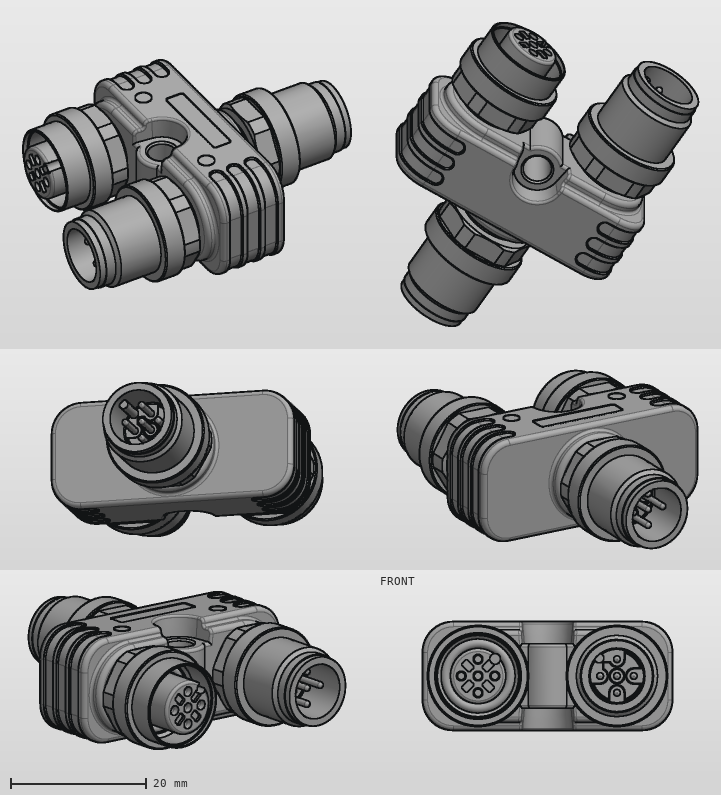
import cadquery as cq
import math


SELECT_MARGIN = 0.05

QUARTER_TURNS = (0, 90, 180, 270)

HOUSING_LENGTH = 37.0
HOUSING_HEIGHT = 16.1
HOUSING_HALF_DEPTH = 5.5
HOUSING_CORNER = 4.55
HOUSING_EDGE = 0.75

COLLAR_DIAMETER = 13.65
COLLAR_FRONT_AT = 7.3
COLLAR_EDGE = 0.8
COLLAR_FOOT = 0.45
CONNECTOR_X = 10.25

GRIP_WIDTH = 2.25
GRIP_DEPTH = 0.25
GRIP_CHAMFER = 0.2
GRIP_PITCH = 3.05
GRIP_COUNT = 3
GRIP_END_X = 11.7

LABEL_LENGTH = 14.0
LABEL_WIDTH = 3.0
LABEL_CORNER = 0.4
LABEL_Y = 1.6
LABEL_DEPTH = 0.15
DISC_DIAMETER = 2.5
DISC_X = 9.0
DISC_Y = -2.5
DISC_DEPTH = 0.1

EYE_Y = -4.7
EYE_DIAMETER = 7.65
EYE_HEIGHT = 9.55
EYE_EDGE = 0.5
EYE_HOLE = 4.2
EYE_HOLE_CHAMFER = 0.3
POCKET_RADIUS = 3.45
POCKET_FLARE = 7.0
POCKET_DRAFT = 5.0
POCKET_EDGE = 0.4

NECK_DIAMETER = 9.3
HEX_AT = 8.3
HEX_FLATS = 13.1
HEX_CORNERS = 14.05
HEX_CHAMFER = 0.3
HEX_CHAMFER_WIDTH = 0.6
RING_AT = 11.35
RING_DIAMETER = 15.0
RING_END_AT = 14.75
RING_CHAMFER = 0.2

CONTACT_OFFSET = 2.5
KEY_ANGLE = 45

PLUG_DIAMETER = 12.0
PLUG_TAPER_AT = 21.6
PLUG_STEP_DIAMETER = 10.8
PLUG_STEP_AT = 22.15
PLUG_TIP_DIAMETER = 10.5
PLUG_TIP_AT = 23.75
PLUG_END_AT = 24.8
PLUG_BORE = 8.3
PLUG_FLOOR_AT = 16.85
PIN_DIAMETER = 1.0
PIN_TIP_RADIUS = 0.45
PIN_END_AT = 22.65
PIN_WELL = 2.1
CENTRE_WELL = 2.0
ISLAND_DIAMETER = 7.55
ISLAND_HEIGHT = 0.4
ISLAND_CHAMFER = 0.15
PLUG_FLOOR_CHAMFER = 0.2
PLUG_KEY_DIAMETER = 1.4
PLUG_KEY_OFFSET = 3.7
PLUG_KEY_END_AT = 22.8
PLUG_KEY_CLEARANCE = 2.1

SLEEVE_DIAMETER = 12.8
SLEEVE_END_AT = 18.75
SLEEVE_CHAMFER = 0.15
SLEEVE_BORE = 12.0
SLEEVE_MOUTH = 12.3
SLEEVE_MOUTH_DEPTH = 0.75
SEAL_DIAMETER = 10.95
SEAL_FLOOR_AT = 12.4
INSERT_DIAMETER = 8.2
INSERT_END_AT = 20.0
INSERT_EDGE = 0.45
CONTACT_HOLE = 1.15
CONTACT_HOLE_DEPTH = 3.95
CONTACT_ENTRY = 1.45
CONTACT_ENTRY_DEPTH = 1.0
VENT_WIDTH = 1.15
VENT_INNER = 1.3
VENT_OUTER = 3.0
VENT_CORNER = 0.25
VENT_DEPTH = 0.5
SOCKET_KEY_DIAMETER = 1.6
SOCKET_KEY_OFFSET = 3.55


def disc(diameter, start, end):
    """Cylinder on the local connector axis between two stations."""
    return cq.Workplane("XY").workplane(offset=start).circle(diameter / 2).extrude(end - start)


def contact_points():
    """Contact centres: one on the axis and four around it."""
    around = [
        (CONTACT_OFFSET * math.cos(math.radians(a)), CONTACT_OFFSET * math.sin(math.radians(a)))
        for a in QUARTER_TURNS
    ]
    return [(0, 0)] + around


def rounded_bar(length, height, corner):
    """Housing cross-section with rounded corners, running through the full depth."""
    return (
        cq.Workplane("XZ")
        .rect(length, height)
        .extrude(HOUSING_HALF_DEPTH, both=True)
        .edges("|Y")
        .fillet(corner)
    )


def housing():
    """Rounded block with both face outlines rounded."""
    block = rounded_bar(HOUSING_LENGTH, HOUSING_HEIGHT, HOUSING_CORNER)
    return block.faces("<Y or >Y").edges().fillet(HOUSING_EDGE)


def front_collar():
    """Stadium-shaped raised face behind the two front connectors."""
    return (
        cq.Workplane("XZ")
        .slot2D(2 * CONNECTOR_X + COLLAR_DIAMETER, COLLAR_DIAMETER)
        .extrude(COLLAR_FRONT_AT)
        .faces("<Y")
        .edges()
        .fillet(COLLAR_EDGE)
    )


def rear_collar():
    """Round raised face behind the rear connector."""
    return (
        cq.Workplane("XZ")
        .circle(COLLAR_DIAMETER / 2)
        .extrude(-COLLAR_FRONT_AT)
        .faces(">Y")
        .edges()
        .fillet(COLLAR_EDGE)
    )


def collar_foot(body, side):
    """Round the inside corner where a collar meets the housing face."""
    face_y = side * HOUSING_HALF_DEPTH
    half_length = HOUSING_LENGTH / 2 - HOUSING_EDGE - SELECT_MARGIN
    half_height = HOUSING_HEIGHT / 2 - HOUSING_EDGE - SELECT_MARGIN
    inside_outline = cq.selectors.BoxSelector(
        (-half_length, face_y - SELECT_MARGIN, -half_height),
        (half_length, face_y + SELECT_MARGIN, half_height),
        boundingbox=True,
    )
    return body.edges(inside_outline).fillet(COLLAR_FOOT)


def grip_grooves():
    """Bands that wrap round each end and stop with a round end on the flat faces."""
    core_length = HOUSING_LENGTH - 2 * GRIP_DEPTH
    core_height = HOUSING_HEIGHT - 2 * GRIP_DEPTH
    core = rounded_bar(core_length, core_height, HOUSING_CORNER - GRIP_DEPTH)
    slot_length = HOUSING_LENGTH
    slot_x = GRIP_END_X + slot_length / 2
    rows = [(i - (GRIP_COUNT - 1) / 2) * GRIP_PITCH for i in range(GRIP_COUNT)]
    centres = [(side * slot_x, y) for side in (-1, 1) for y in rows]
    slots = (
        cq.Workplane("XY")
        .pushPoints(centres)
        .slot2D(slot_length, GRIP_WIDTH)
        .extrude(HOUSING_HEIGHT, both=True)
    )
    bands = slots.cut(core)
    half_length = core_length / 2 + SELECT_MARGIN
    half_height = core_height / 2 + SELECT_MARGIN
    core_box = cq.selectors.BoxSelector(
        (-half_length, -HOUSING_HALF_DEPTH, -half_height),
        (half_length, HOUSING_HALF_DEPTH, half_height),
        boundingbox=True,
    )
    return bands.edges(core_box).edges("not |Y").chamfer(GRIP_CHAMFER)


def top_recesses():
    """Label field and the two marking discs on the top face."""
    top = cq.Workplane("XY").workplane(offset=HOUSING_HEIGHT / 2)
    label = top.center(0, LABEL_Y).rect(LABEL_LENGTH, LABEL_WIDTH).extrude(-LABEL_DEPTH)
    label = label.edges("|Z").fillet(LABEL_CORNER)
    disc_centres = [(-DISC_X, DISC_Y), (DISC_X, DISC_Y)]
    discs = top.pushPoints(disc_centres).circle(DISC_DIAMETER / 2).extrude(-DISC_DEPTH)
    return label.union(discs)


def eye_pocket():
    """Drafted pocket above the eye, with side walls that flare towards the front."""
    flare = math.radians(POCKET_FLARE)
    tangent_x = POCKET_RADIUS * math.cos(flare)
    tangent_y = POCKET_RADIUS * math.sin(flare)
    run = EYE_DIAMETER
    front_x = tangent_x + run * math.tan(flare)
    depth = (HOUSING_HEIGHT - EYE_HEIGHT) / 2
    return (
        cq.Workplane("XY")
        .workplane(offset=EYE_HEIGHT / 2)
        .center(0, EYE_Y)
        .moveTo(-front_x, tangent_y - run)
        .lineTo(-tangent_x, tangent_y)
        .threePointArc((0, POCKET_RADIUS), (tangent_x, tangent_y))
        .lineTo(front_x, tangent_y - run)
        .close()
        .extrude(depth, taper=-POCKET_DRAFT)
    )


def cut_pocket(body):
    """Cut the pocket and round its mouth and the front edge of its floor."""
    floor_z = EYE_HEIGHT / 2
    opened = body.cut(eye_pocket())
    floor_edge = opened.edges(cq.selectors.NearestToPointSelector((0, -COLLAR_FRONT_AT, floor_z)))
    opened = floor_edge.fillet(EYE_EDGE)
    mouth_half_width = POCKET_RADIUS + EYE_EDGE + POCKET_EDGE
    mouth = cq.selectors.BoxSelector(
        (-mouth_half_width, -COLLAR_FRONT_AT - SELECT_MARGIN, floor_z + EYE_EDGE),
        (mouth_half_width, 0, HOUSING_HEIGHT / 2 + SELECT_MARGIN),
        boundingbox=True,
    )
    return opened.edges(mouth).fillet(POCKET_EDGE)


def mounting_eye():
    """Round boss between the two pockets."""
    eye = cq.Workplane("XY").center(0, EYE_Y).circle(EYE_DIAMETER / 2).extrude(EYE_HEIGHT / 2, both=True)
    return eye.faces("<Z or >Z").edges().fillet(EYE_EDGE)


def eye_hole():
    """Through hole of the eye, chamfered at both ends."""
    half = EYE_HEIGHT / 2
    hole = cq.Workplane("XY").center(0, EYE_Y).circle(EYE_HOLE / 2).extrude(half, both=True)
    rim = (
        cq.Workplane("XY")
        .workplane(offset=half - EYE_HOLE_CHAMFER)
        .center(0, EYE_Y)
        .circle(EYE_HOLE / 2)
        .workplane(offset=EYE_HOLE_CHAMFER)
        .circle(EYE_HOLE / 2 + EYE_HOLE_CHAMFER)
        .loft()
    )
    return hole.union(rim).union(rim.mirror("XY"))


def nut():
    """Neck, hexagon with turned-down corners and grip ring."""
    neck = disc(NECK_DIAMETER, HOUSING_HALF_DEPTH, HEX_AT)
    hexagon = (
        cq.Workplane("XY")
        .workplane(offset=HEX_AT)
        .polygon(6, HEX_FLATS / math.cos(math.pi / 6))
        .extrude(RING_AT - HEX_AT)
    )
    turned = disc(HEX_CORNERS, HEX_AT, RING_AT).faces("<Z").chamfer(HEX_CHAMFER, HEX_CHAMFER_WIDTH)
    ring = disc(RING_DIAMETER, RING_AT, RING_END_AT).faces("<Z or >Z").chamfer(RING_CHAMFER)
    return neck.union(hexagon.intersect(turned)).union(ring)


def plug_shell():
    """Stepped outer shell of the plug, with the bore left open."""
    bore = PLUG_BORE / 2
    return (
        cq.Workplane("XZ")
        .moveTo(0, RING_AT)
        .lineTo(PLUG_DIAMETER / 2, RING_AT)
        .lineTo(PLUG_DIAMETER / 2, PLUG_TAPER_AT)
        .lineTo(PLUG_STEP_DIAMETER / 2, PLUG_STEP_AT)
        .lineTo(PLUG_STEP_DIAMETER / 2, PLUG_TIP_AT)
        .lineTo(PLUG_TIP_DIAMETER / 2, PLUG_TIP_AT)
        .lineTo(PLUG_TIP_DIAMETER / 2, PLUG_END_AT)
        .lineTo(bore, PLUG_END_AT)
        .lineTo(bore, PLUG_FLOOR_AT + PLUG_FLOOR_CHAMFER)
        .lineTo(bore - PLUG_FLOOR_CHAMFER, PLUG_FLOOR_AT)
        .lineTo(0, PLUG_FLOOR_AT)
        .close()
        .revolve(360, (0, 0, 0), (0, 1, 0))
    )


def plug_islands():
    """Four raised islands on the bore floor, left between the wells round the pins."""
    top = PLUG_FLOOR_AT + ISLAND_HEIGHT
    islands = disc(ISLAND_DIAMETER, PLUG_FLOOR_AT, top)
    islands = islands.cut(disc(CENTRE_WELL, PLUG_FLOOR_AT, top))
    well_length = ISLAND_DIAMETER / 2
    well_x = CONTACT_OFFSET - PIN_WELL / 2 + well_length / 2
    well = (
        cq.Workplane("XY")
        .workplane(offset=PLUG_FLOOR_AT)
        .center(well_x, 0)
        .slot2D(well_length, PIN_WELL)
        .extrude(ISLAND_HEIGHT)
    )
    for angle in QUARTER_TURNS:
        islands = islands.cut(well.rotate((0, 0, 0), (0, 0, 1), angle))
    quadrant = (
        cq.Workplane("XY")
        .workplane(offset=PLUG_FLOOR_AT)
        .rect(-PLUG_BORE / 2, PLUG_BORE / 2, centered=False)
        .extrude(ISLAND_HEIGHT)
    )
    kept_corner = (
        cq.Workplane("XY")
        .workplane(offset=PLUG_FLOOR_AT)
        .rect(-PLUG_KEY_CLEARANCE, PLUG_KEY_CLEARANCE, centered=False)
        .extrude(ISLAND_HEIGHT)
    )
    islands = islands.cut(quadrant.cut(kept_corner))
    return islands.faces(">Z").edges().chamfer(ISLAND_CHAMFER)


def plug():
    """Complete male connector with pins and key rib."""
    pins = (
        cq.Workplane("XY")
        .workplane(offset=PLUG_FLOOR_AT)
        .pushPoints(contact_points())
        .circle(PIN_DIAMETER / 2)
        .extrude(PIN_END_AT - PLUG_FLOOR_AT)
        .faces(">Z")
        .edges()
        .fillet(PIN_TIP_RADIUS)
    )
    key = (
        disc(PLUG_KEY_DIAMETER, PLUG_FLOOR_AT, PLUG_KEY_END_AT)
        .translate((PLUG_KEY_OFFSET, 0, 0))
        .rotate((0, 0, 0), (0, 0, 1), 180 - KEY_ANGLE)
    )
    return nut().union(plug_shell()).union(plug_islands()).union(pins).union(key)


def socket_sleeve():
    """Outer sleeve with the annular space that leaves the insert standing in its middle."""
    sleeve = disc(SLEEVE_DIAMETER, RING_AT, SLEEVE_END_AT)
    return sleeve.faces(">Z").chamfer(SLEEVE_CHAMFER).cut(socket_gap())


def socket_gap():
    """Annular space round the insert, with the rounded crest of the seal ring as its floor."""
    insert_radius = INSERT_DIAMETER / 2
    seal_radius = SEAL_DIAMETER / 2
    bore_radius = SLEEVE_BORE / 2
    mouth_radius = SLEEVE_MOUTH / 2
    mouth_at = SLEEVE_END_AT - SLEEVE_MOUTH_DEPTH
    cord_radius = (seal_radius - insert_radius) / 2
    crest_at = SEAL_FLOOR_AT + cord_radius
    return (
        cq.Workplane("XZ")
        .moveTo(insert_radius, SEAL_FLOOR_AT)
        .threePointArc((insert_radius + cord_radius, crest_at), (seal_radius, SEAL_FLOOR_AT))
        .lineTo(seal_radius, crest_at)
        .lineTo(bore_radius, crest_at + bore_radius - seal_radius)
        .lineTo(bore_radius, mouth_at - mouth_radius + bore_radius)
        .lineTo(mouth_radius, mouth_at)
        .lineTo(mouth_radius, SLEEVE_END_AT)
        .lineTo(insert_radius, SLEEVE_END_AT)
        .close()
        .revolve(360, (0, 0, 0), (0, 1, 0))
    )


def socket_tip():
    """End of the insert that stands out of the sleeve."""
    return disc(INSERT_DIAMETER, RING_AT, INSERT_END_AT).faces(">Z").edges().fillet(INSERT_EDGE)


def socket_openings():
    """Five contact holes with tapered entries, four vents and the key groove in the insert."""
    face = cq.Workplane("XY").workplane(offset=INSERT_END_AT)
    openings = (
        disc(SOCKET_KEY_DIAMETER, SEAL_FLOOR_AT, INSERT_END_AT)
        .translate((SOCKET_KEY_OFFSET, 0, 0))
        .rotate((0, 0, 0), (0, 0, 1), KEY_ANGLE)
    )
    hole = face.circle(CONTACT_HOLE / 2).extrude(-CONTACT_HOLE_DEPTH)
    entry = (
        face.circle(CONTACT_ENTRY / 2)
        .workplane(offset=-CONTACT_ENTRY_DEPTH)
        .circle(CONTACT_HOLE / 2)
        .loft()
    )
    contact = hole.union(entry)
    for x, y in contact_points():
        openings = openings.union(contact.translate((x, y, 0)))
    vent = (
        face.center((VENT_INNER + VENT_OUTER) / 2, 0)
        .rect(VENT_OUTER - VENT_INNER, VENT_WIDTH)
        .extrude(-VENT_DEPTH)
        .edges("|Z")
        .fillet(VENT_CORNER)
    )
    for angle in QUARTER_TURNS:
        openings = openings.union(vent.rotate((0, 0, 0), (0, 0, 1), KEY_ANGLE + angle))
    return openings


def socket():
    """Complete female connector."""
    ring = nut().cut(socket_gap())
    return ring.union(socket_sleeve()).union(socket_tip()).cut(socket_openings())


def face_front(connector):
    """Turn a connector so that its axis points to -Y and its local Y points up."""
    return connector.rotate((0, 0, 0), (1, 0, 0), 90)


body = housing().union(front_collar()).union(rear_collar())
body = collar_foot(body, -1)
body = collar_foot(body, 1)
body = body.cut(grip_grooves()).cut(top_recesses())

body = cut_pocket(body)
body = cut_pocket(body.rotate((0, 0, 0), (0, 1, 0), 180))
body = body.rotate((0, 0, 0), (0, 1, 0), 180)
body = body.union(mounting_eye()).cut(eye_hole())

front_plug = face_front(plug())
rear_plug = front_plug.rotate((0, 0, 0), (0, 0, 1), 180)
front_socket = face_front(socket())

result = (
    body.union(front_plug.translate((CONNECTOR_X, 0, 0)))
    .union(front_socket.translate((-CONNECTOR_X, 0, 0)))
    .union(rear_plug)
)